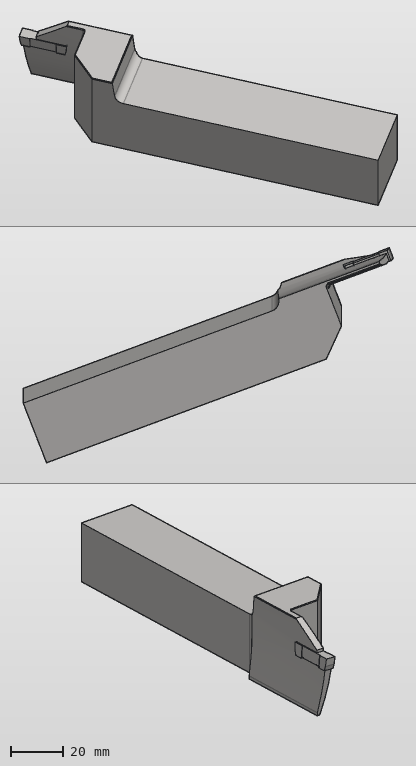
import cadquery as cq
import math

length = 150.0
shank_width = 25.0
shank_height = 25.0
overall_depth = 28.5
head_height = 35.0
head_front_x = 25.9
head_rear_x = 44.0
head_corner_cut = 10.0
rear_lean = 8.0
rear_fillet = 3.5
back_fillet = 4.0
back_fillet_end_x = 48.5
scoop_end_x = 60.0
rim_chamfer = 0.3
blade_foot_chamfer = 0.4

tip_height = 25.0
blade_foot_x = 3.5
blade_nose_x = 1.45
seat_height = 20.0
jaw_nose_x = 6.6
jaw_nose_height = 25.95
jaw_ridge_x = 18.8
blade_front_y = 22.95
blade_back_y = 26.15
blade_front_radius = 75.0
blade_back_radius = 120.0
root_fillet = 1.0

insert_length = 18.9
insert_height = 5.2
insert_end_length = 4.2
insert_end_width = 4.3
insert_waist_width = 3.9
insert_waist_lift = 0.4
insert_land_depth = 3.2
insert_land_relief = 0.3
insert_foot_relief = 0.8
insert_tilt = 5.0
insert_center_y = 24.65
insert_center_z = 24.8


def cylinder_along_x(radius, center_y, x_start, x_end):
    """A cylinder parallel to X whose axis is level with the tip."""
    return (
        cq.Workplane("YZ", origin=(x_start, 0, 0))
        .center(center_y, tip_height)
        .circle(radius)
        .extrude(x_end - x_start)
    )


def box(x_range, y_range, z_range):
    """An axis-aligned block between pairs of limits."""
    sizes = [high - low for low, high in (x_range, y_range, z_range)]
    corner = (x_range[0], y_range[0], z_range[0])
    return cq.Workplane("XY").box(*sizes, centered=False).translate(corner)


def make_side_profile():
    """Silhouette in XZ of blade, jaw, head and shank, through the full depth."""
    step_x = head_rear_x + (head_height - shank_height) * math.tan(math.radians(rear_lean))
    profile = (
        cq.Workplane("XZ")
        .polyline([
            (blade_foot_x, 0),
            (length, 0),
            (length, shank_height),
            (step_x, shank_height),
            (head_rear_x, head_height),
            (jaw_ridge_x, head_height),
            (jaw_nose_x, jaw_nose_height),
            (jaw_nose_x, seat_height),
            (blade_nose_x, seat_height),
        ])
        .close()
        .extrude(-overall_depth)
    )
    step_edge = cq.selectors.NearestToPointSelector((step_x, overall_depth / 2, shank_height))
    return profile.edges(step_edge).fillet(rear_fillet)


def make_plan():
    """Outline in XY with the corner cut and the step from head back to shank."""
    step_height = overall_depth - shank_width
    fillet_center = (back_fillet_end_x, shank_width + back_fillet)
    arc_start_drop = math.asin((back_fillet - step_height) / back_fillet)
    arc_start = (fillet_center[0] - back_fillet * math.cos(arc_start_drop), overall_depth)
    arc_mid_angle = (arc_start_drop + math.pi / 2) / 2
    arc_mid = (
        fillet_center[0] - back_fillet * math.cos(arc_mid_angle),
        fillet_center[1] - back_fillet * math.sin(arc_mid_angle),
    )
    return (
        cq.Workplane("XY")
        .moveTo(0, overall_depth)
        .lineTo(*arc_start)
        .threePointArc(arc_mid, (back_fillet_end_x, shank_width))
        .lineTo(length, shank_width)
        .lineTo(length, 0)
        .lineTo(head_front_x + head_corner_cut, 0)
        .lineTo(head_front_x, head_corner_cut)
        .lineTo(head_front_x, blade_front_y - root_fillet)
        .lineTo(0, blade_front_y - root_fillet)
        .close()
        .extrude(head_height)
    )


def blade_face_y(height):
    """Y of the blade's convex front face at a given height."""
    offset = tip_height - height
    return blade_front_y + blade_front_radius - math.sqrt(blade_front_radius ** 2 - offset ** 2)


def trim_blade_front(body):
    """Cut the blade's convex front face."""
    front_drum = cylinder_along_x(blade_front_radius, blade_front_y + blade_front_radius, 0, head_front_x)
    beside_blade = box((0, head_front_x), (0, overall_depth), (0, head_height)).cut(front_drum)
    return body.cut(beside_blade)


def round_blade_root(body):
    """Fillet the corner between the blade and the front face of the head."""
    corner = cq.selectors.NearestToPointSelector((head_front_x, blade_front_y, tip_height))
    return body.edges(corner).fillet(root_fillet)


def bevel_blade_foot(body):
    """Bevel the blade's lower front edge, up to the root fillet."""
    foot_y = blade_face_y(0)
    wedge = (
        cq.Workplane("YZ")
        .polyline([
            (foot_y - blade_foot_chamfer, 0),
            (foot_y + blade_foot_chamfer, 0),
            (blade_face_y(blade_foot_chamfer), blade_foot_chamfer),
        ])
        .close()
        .extrude(head_front_x - root_fillet)
    )
    return body.cut(wedge)


def scoop_back(body):
    """Hollow the back of blade and head to a concave cylinder."""
    back_drum = cylinder_along_x(blade_back_radius, blade_back_y + blade_back_radius, 0, scoop_end_x)
    behind_shank = box((0, scoop_end_x), (shank_width, overall_depth), (0, head_height))
    return body.cut(back_drum.intersect(behind_shank))


def bevel_head_rim(body):
    """Shallow bevel around the head's top face, leaving the jaw ridge sharp."""
    jaw_ridge = cq.selectors.DirectionMinMaxSelector(cq.Vector(1, 0, 0), directionMax=False)
    rim = body.faces(">Z").edges(-jaw_ridge)
    return rim.chamfer(rim_chamfer)


def make_holder():
    body = make_side_profile().intersect(make_plan())
    body = trim_blade_front(body)
    body = round_blade_root(body)
    body = bevel_blade_foot(body)
    body = scoop_back(body)
    return bevel_head_rim(body)


def insert_end():
    """Cutting end of the insert with its tip at the origin, pointing along -X."""
    return (
        cq.Workplane("XZ")
        .polyline([
            (0, 0),
            (insert_end_length, 0),
            (insert_end_length, -insert_height),
            (insert_foot_relief, -insert_height),
            (insert_land_relief, -insert_land_depth),
        ])
        .close()
        .extrude(insert_end_width / 2, both=True)
    )


def make_insert():
    """Double-ended insert with a narrow waist, tilted about X to follow the blade."""
    waist = box(
        (insert_end_length, insert_length - insert_end_length),
        (-insert_waist_width / 2, insert_waist_width / 2),
        (insert_waist_lift - insert_height, 0),
    )
    rear_end = insert_end().mirror("YZ").translate((insert_length, 0, 0))
    insert = insert_end().union(waist).union(rear_end)
    return insert.rotate((0, 0, 0), (1, 0, 0), insert_tilt).translate((0, insert_center_y, insert_center_z))


insert = make_insert()
holder = make_holder().cut(insert)
result = cq.Compound.makeCompound([holder.val(), insert.val()])